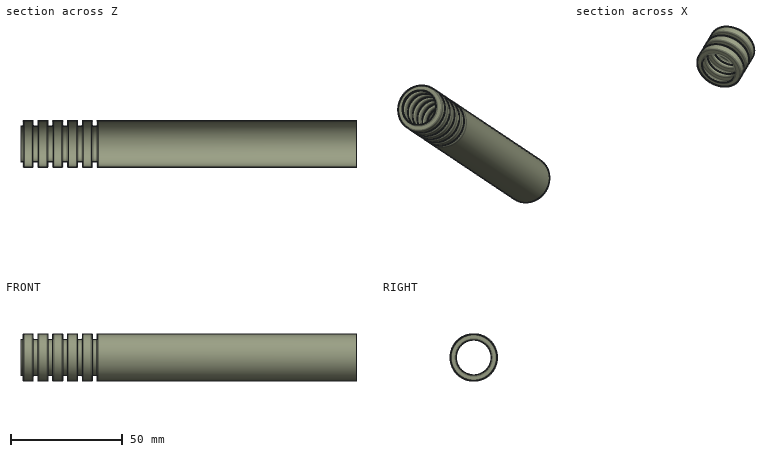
import cadquery as cq

length = 150.0
outer_diameter = 21.2
neck_outer_diameter = 16.2
wall = 0.35

neck_width = 2.1
lip_length = neck_width / 2
rib_pitch = 6.6
rib_count = 5
rib_width = rib_pitch - neck_width

convex_radius = 0.4
concave_radius = 0.2

x_min = -length / 2
x_max = length / 2
first_rib_start = x_min + lip_length
body_start = first_rib_start + rib_count * rib_pitch


def cylinder(start, end, diameter):
    """Solid cylinder on the X axis between two X positions."""
    return cq.Workplane("YZ", origin=(start, 0, 0)).circle(diameter / 2).extrude(end - start)


def round_corners(shape, diameter, radius):
    """Fillet the corrugation corners on one diameter, leaving the two tube ends sharp."""

    def is_corner(edge):
        if edge.geomType() != "CIRCLE":
            return False
        at_end = min(edge.Center().x - x_min, x_max - edge.Center().x) < lip_length / 2
        return not at_end and abs(2 * edge.radius() - diameter) < wall / 2

    return shape.edges().filter(is_corner).fillet(radius)


def corrugated_bar(inset, crest_radius, root_radius):
    """Solid bar bounded by one skin of the tube, set inward from the outside by inset."""
    large_diameter = outer_diameter - 2 * inset
    small_diameter = neck_outer_diameter - 2 * inset
    bar = cylinder(x_min, x_max, small_diameter)
    for index in range(rib_count):
        rib_start = first_rib_start + index * rib_pitch
        rib_end = rib_start + rib_width
        bar = bar.union(cylinder(rib_start + inset, rib_end - inset, large_diameter))
    bar = bar.union(cylinder(body_start + inset, x_max, large_diameter))
    bar = round_corners(bar, large_diameter, crest_radius)
    return round_corners(bar, small_diameter, root_radius)


outer_skin = corrugated_bar(0, convex_radius, concave_radius)
inner_skin = corrugated_bar(wall, concave_radius, convex_radius)

result = outer_skin.cut(inner_skin)